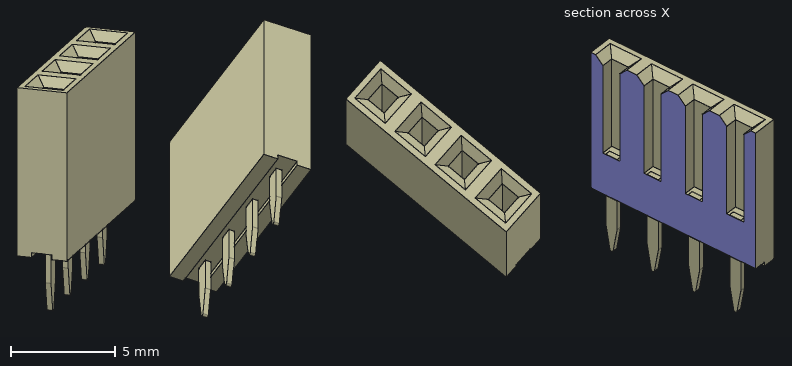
import cadquery as cq

contact_count = 4
row_length = 10.15
pitch = row_length / contact_count
total_height = 11.5
pin_projection = 3.0
contact_places = [(index - (contact_count - 1) / 2) * pitch for index in range(contact_count)]

housing_width = 2.54
housing_height = total_height - pin_projection
groove_width = 1.04
groove_depth = 0.24

mouth_size = 1.92
shaft_size = 1.02
lead_in_depth = (mouth_size - shaft_size) / 2
socket_depth = 5.75
socket_floor = housing_height - socket_depth

pin_thickness = 0.3
pin_width = 0.7
taper_length = 1.5
tip_width = 0.21
tip_rounding = 0.07
pin_bottom = -pin_projection


def make_socket(y):
    """Solid that fills one socket."""
    shaft = (
        cq.Workplane("XY", origin=(0, y, socket_floor))
        .rect(shaft_size, shaft_size)
        .extrude(socket_depth)
    )
    lead_in = (
        cq.Workplane("XY", origin=(0, y, housing_height))
        .rect(mouth_size, mouth_size)
        .workplane(offset=-lead_in_depth)
        .rect(shaft_size, shaft_size)
        .loft(ruled=True)
    )
    return shaft.union(lead_in)


def make_pin_passage(y):
    """Solid that fills the slot holding one pin, from the base to the socket floor."""
    return (
        cq.Workplane("XY", origin=(0, y, 0))
        .rect(pin_thickness, pin_width)
        .extrude(socket_floor)
    )


def make_housing():
    """Block with a groove along its base, open sockets on top and a slot for each pin."""
    body = cq.Workplane("XY").box(
        housing_width, row_length, housing_height, centered=(True, True, False)
    )
    groove = cq.Workplane("XY").box(
        groove_width, row_length, groove_depth, centered=(True, True, False)
    )
    body = body.cut(groove)
    for y in contact_places:
        body = body.cut(make_socket(y)).cut(make_pin_passage(y))
    return body


def make_pin(y):
    """Flat blade that tapers to a narrow rounded tip."""
    taper_top = pin_bottom + taper_length
    tip_shoulder = pin_bottom + tip_rounding
    return (
        cq.Workplane("YZ", origin=(-pin_thickness / 2, y, 0))
        .moveTo(-pin_width / 2, socket_floor)
        .lineTo(-pin_width / 2, taper_top)
        .lineTo(-tip_width / 2, tip_shoulder)
        .threePointArc((0, pin_bottom), (tip_width / 2, tip_shoulder))
        .lineTo(pin_width / 2, taper_top)
        .lineTo(pin_width / 2, socket_floor)
        .close()
        .extrude(pin_thickness)
    )


housing = make_housing()
pins = [make_pin(y) for y in contact_places]

result = cq.Compound.makeCompound([housing.val(), *[pin.val() for pin in pins]])